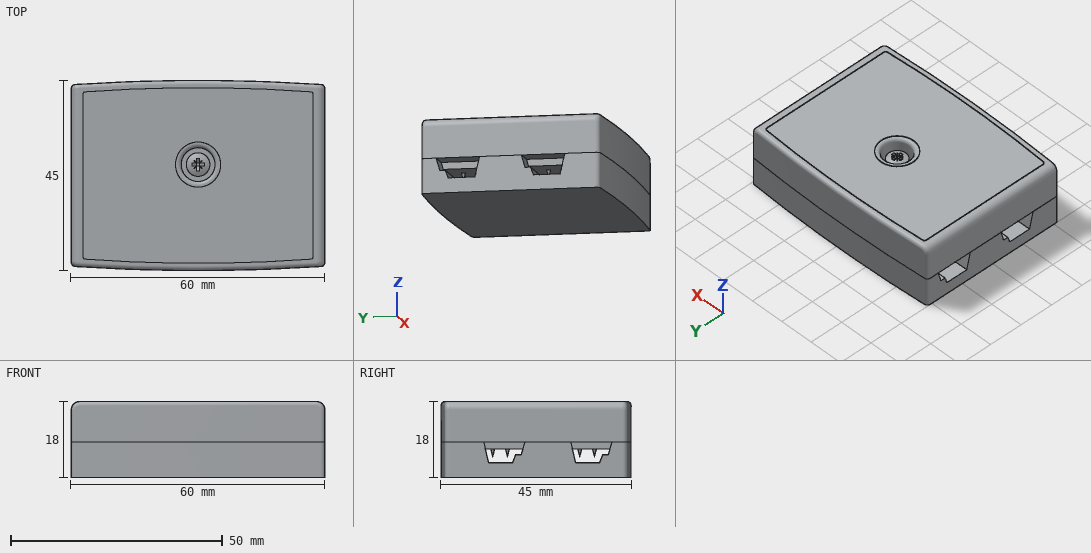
import cadquery as cq
import math

length = 60.0
width = 45.0
height = 18.0
split_height = 8.4
side_bow = 1.0
end_round = 2.0
side_round = 1.0

panel_length = 54.4
panel_width = 41.5
panel_corner = 0.6
panel_depth = 0.2

screw_y = 2.6
rim_diameter = 10.7
well_diameter = 8.0
well_round = 0.95
well_floor = 12.6

head_diameter = 5.6
head_edge = 15.6
dome_height = 0.8
shank_diameter = 3.0
shank_bottom = 2.4
cross_span = 3.0
cross_width = 0.8
cross_depth = 1.2
mark_span = 2.65
mark_width = 0.1
mark_depth = 0.35

channel_ledge = 5.4
channel_floor = 3.55
channel_mouth_ys = (17.95, 7.45)
channel_ledge_ys = (17.05, 15.7)
channel_floor_ys = (15.0, 8.6)
channel_pitch = 20.6
channel_narrowing = 0.8
channel_offsets = (0, -channel_pitch)

pad_bottom = 6.7
pad_start = -24.0
pad_length = 12.0
spike_diameter = 0.95
spike_height = 1.8
spike_ys = (13.8, 10.3)


def bowed_plate(plate_length, plate_width, bottom, thickness):
    """Plate with straight ends and long sides bowed outwards."""
    half_length = plate_length / 2
    middle = plate_width / 2
    corner = middle - side_bow
    return (
        cq.Workplane("XY", origin=(0, 0, bottom))
        .moveTo(-half_length, -corner)
        .threePointArc((0, -middle), (half_length, -corner))
        .lineTo(half_length, corner)
        .threePointArc((0, middle), (-half_length, corner))
        .close()
        .extrude(thickness)
    )


def enclosure():
    """Whole rounded outside shape, before it is split into base and cover."""
    block = bowed_plate(length, width, 0, height)
    block = block.edges(">Z and |Y").fillet(end_round)
    rim = block.faces("<Y or >Y").edges("not <Z")
    return rim.fillet(side_round)


def channel(offset):
    """Stepped cable channel through the full length, open at the split."""
    def section(x, lean):
        outline = [
            (channel_mouth_ys[0], split_height),
            (channel_ledge_ys[0], channel_ledge),
            (channel_ledge_ys[1], channel_ledge),
            (channel_floor_ys[0], channel_floor),
            (channel_floor_ys[1] + lean, channel_floor),
            (channel_mouth_ys[1] + lean, split_height),
        ]
        plane = cq.Workplane("YZ", origin=(x, offset, 0))
        return plane.polyline(outline).close().wires().val()

    ends = [section(-length / 2, 0), section(length / 2, channel_narrowing)]
    return cq.Workplane(cq.Solid.makeLoft(ends, True))


def slab(bottom, top, start=-length / 2, span=length):
    """Block wider than the enclosure between two heights, used to pick part of a shape."""
    middle = start + span / 2
    return cq.Workplane("XY", origin=(middle, 0, bottom)).rect(span, 2 * width).extrude(top - bottom)


def screw_axis(z):
    """Horizontal workplane centred on the screw at height z."""
    return cq.Workplane("XY", origin=(0, screw_y, z))


def shank():
    """Screw shank, also used to cut its matching hole."""
    return screw_axis(shank_bottom).circle(shank_diameter / 2).extrude(well_floor - shank_bottom)


def screw_well():
    """Round well whose mouth flares out in a quarter-round lip."""
    radius = well_diameter / 2
    lip_slant = well_round * (1 - math.sqrt(0.5))
    return (
        cq.Workplane("XZ", origin=(0, screw_y, 0))
        .moveTo(0, well_floor)
        .lineTo(radius, well_floor)
        .lineTo(radius, height - well_round)
        .threePointArc((radius + lip_slant, height - lip_slant), (radius + well_round, height))
        .lineTo(0, height)
        .close()
        .revolve(360, (0, 0, 0), (0, 1, 0))
    )


def make_base():
    """Lower half of the enclosure with the two cable channels."""
    base = enclosure().intersect(slab(0, split_height))
    for offset in channel_offsets:
        base = base.cut(channel(offset))
    return base.cut(shank())


def make_cover():
    """Upper half of the enclosure with its panel, screw well and cable pads."""
    cover = enclosure().intersect(slab(split_height, height))
    panel = bowed_plate(panel_length, panel_width, height - panel_depth, panel_depth)
    panel = panel.edges("|Z").fillet(panel_corner)
    rim = screw_axis(height - panel_depth).circle(rim_diameter / 2).extrude(panel_depth)
    cover = cover.cut(panel.cut(rim))
    cover = cover.cut(screw_well())
    cover = cover.cut(shank())
    for offset in channel_offsets:
        pad = channel(offset).intersect(slab(pad_bottom, split_height, pad_start, pad_length))
        cover = cover.union(pad)
        for y in spike_ys:
            spike = cq.Solid.makeCone(
                spike_diameter / 2, 0, spike_height,
                pnt=cq.Vector(pad_start + pad_length / 2, y + offset, pad_bottom),
                dir=cq.Vector(0, 0, -1))
            cover = cover.union(cq.Workplane(spike))
    return cover


def make_screw():
    """Dome-headed screw with a cross recess."""
    head_radius = head_diameter / 2
    top = head_edge + dome_height
    dome_radius = (head_radius ** 2 + dome_height ** 2) / (2 * dome_height)
    half_angle = math.asin(head_radius / dome_radius) / 2
    dome_middle = (
        dome_radius * math.sin(half_angle),
        top - dome_radius * (1 - math.cos(half_angle)),
    )
    head = (
        cq.Workplane("XZ", origin=(0, screw_y, 0))
        .moveTo(0, well_floor)
        .lineTo(head_radius, well_floor)
        .lineTo(head_radius, head_edge)
        .threePointArc(dome_middle, (0, top))
        .close()
        .revolve(360, (0, 0, 0), (0, 1, 0))
    )
    screw = head.union(shank())
    dome_drop = dome_radius - math.sqrt(dome_radius ** 2 - (cross_span / 2) ** 2)
    for angle in (0, 90):
        arm = (
            cq.Workplane("XZ")
            .polyline([
                (-cross_span / 2, top - dome_drop),
                (-cross_span / 2, top),
                (cross_span / 2, top),
                (cross_span / 2, top - dome_drop),
                (cross_width / 2, top - cross_depth),
                (-cross_width / 2, top - cross_depth),
            ])
            .close()
            .extrude(cross_width / 2, both=True)
        )
        arm = arm.rotate((0, 0, 0), (0, 0, 1), angle)
        screw = screw.cut(arm.translate((0, screw_y, 0)))
    for angle in (45, 135):
        mark = cq.Workplane("XY").box(mark_span, mark_width, 2 * mark_depth)
        mark = mark.rotate((0, 0, 0), (0, 0, 1), angle)
        screw = screw.cut(mark.translate((0, screw_y, top)))
    return screw


base = make_base()
cover = make_cover()
screw = make_screw()
result = cq.Compound.makeCompound([base.val(), cover.val(), screw.val()])